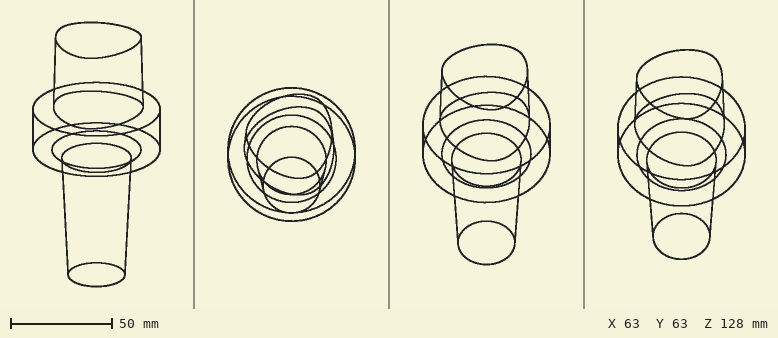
import cadquery as cq
import math

total_height = 128.0

shank_height = 63.6
shank_bottom_diameter = 28.2
shank_top_diameter = 34.3

collar_height = 4.5
collar_top_diameter = 44.0
flange_height = 22.0
flange_diameter = 63.0

coupling_base_width = 44.3
coupling_top_width = 42.4
lobe_eccentricity = 1.3
lobe_count = 3
lobe_direction = -math.pi / 2
curve_points = 48

collar_bottom = shank_height
flange_bottom = collar_bottom + collar_height
flange_top = flange_bottom + flange_height
coupling_height = total_height - flange_top


def lobed_point(width, turn):
    """Point of the polygon curve where its outward normal has angle `turn` from a lobe."""
    normal_distance = width / 2 + lobe_eccentricity * math.cos(lobe_count * turn)
    tangent_distance = -lobe_count * lobe_eccentricity * math.sin(lobe_count * turn)
    angle = lobe_direction + turn
    x = normal_distance * math.cos(angle) - tangent_distance * math.sin(angle)
    y = normal_distance * math.sin(angle) + tangent_distance * math.cos(angle)
    return (x, y)


def lobed_outline(width):
    """Points around one closed lobed section, starting at the -Y lobe."""
    return [lobed_point(width, 2 * math.pi * i / curve_points) for i in range(curve_points)]


def make_round_body():
    """Shank, collar and flange turned about Z."""
    half_profile = [
        (0, 0),
        (shank_bottom_diameter / 2, 0),
        (shank_top_diameter / 2, collar_bottom),
        (collar_top_diameter / 2, flange_bottom),
        (flange_diameter / 2, flange_bottom),
        (flange_diameter / 2, flange_top),
        (0, flange_top),
    ]
    return cq.Workplane("XZ").polyline(half_profile).close().revolve(360, (0, 0), (0, 1))


def make_coupling():
    """Lobed section narrowing from the flange to the top face."""
    return (
        cq.Workplane("XY", origin=(0, 0, flange_top))
        .spline(lobed_outline(coupling_base_width), periodic=True)
        .close()
        .workplane(offset=coupling_height)
        .spline(lobed_outline(coupling_top_width), periodic=True)
        .close()
        .loft(ruled=True, combine=True)
    )


result = make_round_body().union(make_coupling())